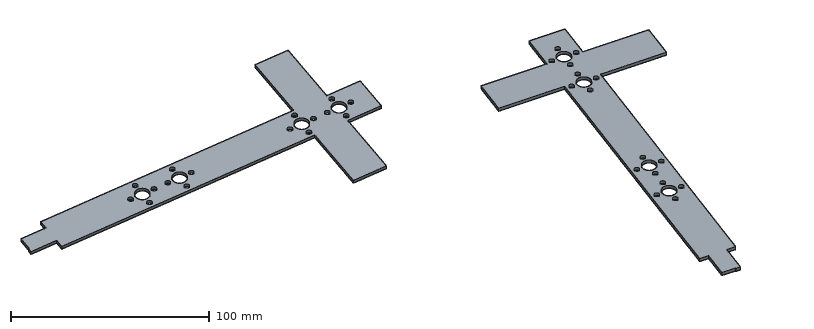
import cadquery as cq

length = 204.0
span = 95.0
thickness = 2.0
top_y = length / 2
bottom_y = -length / 2

stem_width = 20.4
crossbar_width = 19.5
crossbar_top_y = top_y - 19.8
crossbar_bottom_y = crossbar_top_y - crossbar_width
tab_width = 10.5
shoulder_y = top_y - 188.9
lip_width = 2.7
lip_depth = 0.5
tab_end_y = bottom_y + lip_depth

center_hole_diameter = 8.0
screw_hole_diameter = 2.9
screw_circle_radius = 7.0
pair_spacing = 22.0
upper_pair_y = top_y - 18.8
lower_pair_y = top_y - 113.0


def make_plate():
    """Flat cross with a narrower, lipped tab at the -Y end."""
    outline = [
        (-stem_width / 2, top_y),
        (stem_width / 2, top_y),
        (stem_width / 2, crossbar_top_y),
        (span / 2, crossbar_top_y),
        (span / 2, crossbar_bottom_y),
        (stem_width / 2, crossbar_bottom_y),
        (stem_width / 2, shoulder_y),
        (tab_width / 2, shoulder_y),
        (tab_width / 2, bottom_y),
        (tab_width / 2 - lip_width, bottom_y),
        (tab_width / 2 - lip_width, tab_end_y),
        (-tab_width / 2, tab_end_y),
        (-tab_width / 2, shoulder_y),
        (-stem_width / 2, shoulder_y),
        (-stem_width / 2, crossbar_bottom_y),
        (-span / 2, crossbar_bottom_y),
        (-span / 2, crossbar_top_y),
        (-stem_width / 2, crossbar_top_y),
    ]
    return cq.Workplane("XY").polyline(outline).close().extrude(thickness)


def cut_hole_group(plate, center_y):
    """Cut a large hole and its four surrounding screw holes."""
    face = plate.faces(">Z").workplane(origin=(0, center_y, thickness))
    plate = face.circle(center_hole_diameter / 2).cutThruAll()
    face = plate.faces(">Z").workplane(origin=(0, center_y, thickness))
    screws = face.polarArray(screw_circle_radius, 0, 360, 4)
    return screws.circle(screw_hole_diameter / 2).cutThruAll()


result = make_plate()
for pair_y in (upper_pair_y, lower_pair_y):
    for group_y in (pair_y, pair_y - pair_spacing):
        result = cut_hole_group(result, group_y)